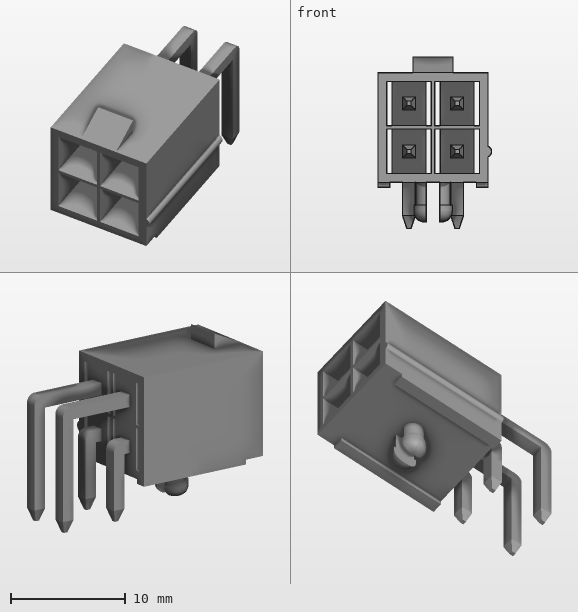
import cadquery as cq
import math


overall_length = 19.97

housing_width = 9.6
housing_length = 12.8
housing_height = 9.55
outer_wall = 0.78
upright_divider = 0.34
level_divider = 0.3
cell_depth = 9.98

slot_width = 0.44

rail_width = 1.04
rail_height = 0.44
rail_setback = 1.82

latch_width = 3.5
latch_length = 3.0
latch_height = 1.38

rib_radius = 0.5
rib_projection = 0.3

prong_y = 6.35
prong_axis_x = 0.48
prong_gap = 1.15
shaft_radius = 1.02
head_radius = 1.2
shaft_bottom = -2.0
head_band_height = 0.54
dome_height = 0.92

pin_pitch = 4.2
pin_thickness = 1.14
tip_length = 1.15
tip_width = 0.38
bend_radius = 0.8
pin_front_y = 3.0
pin_bottom = -4.03
rear_leg_y = overall_length - pin_thickness / 2
leg_pitch = 5.47

cell_width = (housing_width - 2 * outer_wall - upright_divider) / 2
cell_height = (housing_height - 2 * outer_wall - level_divider) / 2
column_pitch = cell_width + upright_divider
row_pitch = cell_height + level_divider
mid_height = housing_height / 2
side_x = housing_width / 2
lower_pin_z = mid_height - pin_pitch / 2
upper_pin_z = mid_height + pin_pitch / 2
sides = (-1, 1)


def block(x_min, x_max, y_min, y_max, z_min, z_max):
    """Box between the given limits."""
    size = (x_max - x_min, y_max - y_min, z_max - z_min)
    return cq.Workplane("XY").box(*size, centered=False).translate((x_min, y_min, z_min))


def make_cell(column, row):
    """Cavity for one contact, with the two slots that carry its sides through the rear wall."""
    centre_x = column * column_pitch / 2
    centre_z = mid_height + row * row_pitch / 2
    left = centre_x - cell_width / 2
    right = centre_x + cell_width / 2
    bottom = centre_z - cell_height / 2
    top = centre_z + cell_height / 2
    cavity = block(left, right, 0, cell_depth, bottom, top)
    left_slot = block(left, left + slot_width, 0, housing_length, bottom, top)
    right_slot = block(right - slot_width, right, 0, housing_length, bottom, top)
    return cavity.union(left_slot).union(right_slot)


def make_rail(side):
    """Standoff rail along one lower edge, stopping short of the mating face."""
    inner_x = side * (side_x - rail_width)
    outer_x = side * side_x
    x_min, x_max = sorted((inner_x, outer_x))
    return block(x_min, x_max, rail_setback, housing_length, -rail_height, 0)


def make_latch():
    """Wedge that rises from the mating face to a square catch."""
    profile = [
        (0, housing_height),
        (latch_length, housing_height),
        (latch_length, housing_height + latch_height),
    ]
    return cq.Workplane("YZ").polyline(profile).close().extrude(latch_width / 2, both=True)


def make_rib():
    """Full-length round rib, sunk so that only its crown stands out of the +X wall."""
    rib_x = side_x + rib_projection - rib_radius
    cylinder = cq.Workplane("XZ").center(rib_x, lower_pin_z).circle(rib_radius).extrude(-housing_length)
    wall_zone = block(
        side_x - outer_wall / 2, side_x + rib_radius,
        0, housing_length,
        lower_pin_z - rib_radius, lower_pin_z + rib_radius,
    )
    return cylinder.intersect(wall_zone)


def make_prong(side):
    """Half of the split peg: shaft, wider head and domed end, cut flat along the gap."""
    band_bottom = shaft_bottom - head_band_height
    dome_bottom = band_bottom - dome_height
    crown_radius = head_radius - dome_height
    dome_middle = (
        crown_radius + dome_height * math.sin(math.pi / 4),
        band_bottom - dome_height * math.cos(math.pi / 4),
    )
    turned = (
        cq.Workplane("XZ")
        .moveTo(0, 0)
        .lineTo(shaft_radius, 0)
        .lineTo(shaft_radius, shaft_bottom)
        .lineTo(head_radius, shaft_bottom)
        .lineTo(head_radius, band_bottom)
        .threePointArc(dome_middle, (crown_radius, dome_bottom))
        .lineTo(0, dome_bottom)
        .close()
        .revolve(360, (0, 0, 0), (0, 1, 0))
        .translate((side * prong_axis_x, prong_y, 0))
    )
    flat_x = side * prong_gap / 2
    x_min, x_max = sorted((flat_x, flat_x + side * 2 * head_radius))
    kept_side = block(x_min, x_max, prong_y - head_radius, prong_y + head_radius, dome_bottom, 0)
    return turned.intersect(kept_side)


def make_tip(plane):
    """Tapered pin end that narrows along the normal of the plane."""
    return (
        cq.Workplane(plane)
        .rect(pin_thickness, pin_thickness)
        .workplane(offset=tip_length)
        .rect(tip_width, tip_width)
        .loft(ruled=True)
    )


def make_pin(x, z, leg_y):
    """Square pin: a straight contact, one bend down and a leg, with both ends tapered."""
    half = pin_thickness / 2
    contact_start = pin_front_y + tip_length
    leg_end = pin_bottom + tip_length
    contact = block(x - half, x + half, contact_start, leg_y + half, z - half, z + half)
    leg = block(x - half, x + half, leg_y - half, leg_y + half, leg_end, z + half)
    outer_corner = cq.selectors.NearestToPointSelector((x, leg_y + half, z + half))
    bent = contact.union(leg).edges("|X").edges(outer_corner).fillet(bend_radius)
    contact_tip = make_tip(cq.Plane((x, contact_start, z), xDir=(1, 0, 0), normal=(0, -1, 0)))
    leg_tip = make_tip(cq.Plane((x, leg_y, leg_end), xDir=(1, 0, 0), normal=(0, 0, -1)))
    return bent.union(contact_tip).union(leg_tip)


def make_housing(pins):
    """Shell with its cells and outside details, and a matching hole for every pin."""
    housing = block(-side_x, side_x, 0, housing_length, 0, housing_height)
    housing = housing.union(make_latch()).union(make_rib())
    for side in sides:
        housing = housing.union(make_rail(side)).union(make_prong(side))
    for column in sides:
        for row in sides:
            housing = housing.cut(make_cell(column, row))
    for pin in pins:
        housing = housing.cut(pin)
    return housing


pin_rows = (
    (lower_pin_z, rear_leg_y - leg_pitch),
    (upper_pin_z, rear_leg_y),
)
pins = []
for pin_z, leg_y in pin_rows:
    for column in sides:
        pins.append(make_pin(column * pin_pitch / 2, pin_z, leg_y))

housing = make_housing(pins)

result = cq.Compound.makeCompound([housing.val(), *[pin.val() for pin in pins]])